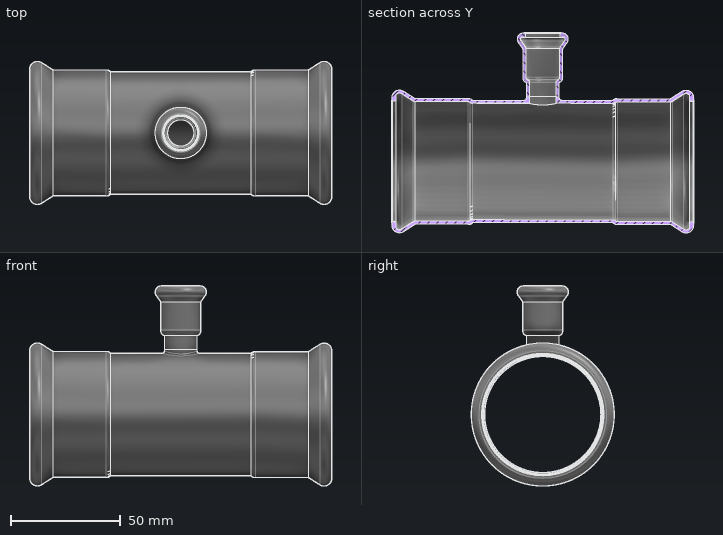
import cadquery as cq
import math

run_length = 138.0
run_outer_d = 56.0
run_bore_d = 53.0
run_socket_outer_d = 57.5
run_socket_bore_d = 54.4
run_mouth_d = 55.0
run_bevel_d = 55.9
run_bead_d = 65.4
run_bead_radius = 3.6
run_flare_depth = 10.8
run_shoulder_depth = 34.8
run_socket_depth = 37.0

branch_top = 58.8
branch_outer_d = 15.0
branch_bore_d = 12.0
branch_socket_outer_d = 18.4
branch_socket_bore_d = 15.2
branch_mouth_d = 15.7
branch_bevel_d = 16.5
branch_bead_d = 23.5
branch_bead_radius = 2.9
branch_flare_depth = 7.3
branch_shoulder_depth = 20.1
branch_socket_depth = 22.8

bevel_depth = 0.4
lip_depth = 2.1
bore_lead_depth = 0.8

collar_top = 29.7
collar_fillet = 1.0


def press_socket(bead_d, bead_radius, outer_d, bore_d, mouth_d, bevel_d, pipe_outer_d, pipe_bore_d,
                 flare_depth, shoulder_depth, socket_depth):
    """Beaded socket revolved about Z, mouth face at Z = 0, narrowing to the pipe below."""
    bead_centre_r = bead_d / 2 - bead_radius
    foot_dr = outer_d / 2 - bead_centre_r
    foot_dz = bead_radius - flare_depth
    foot_distance = math.hypot(foot_dr, foot_dz)
    touch_angle = math.atan2(foot_dz, foot_dr) + math.acos(bead_radius / foot_distance)
    touch_point = (bead_centre_r + bead_radius * math.cos(touch_angle),
                   -bead_radius + bead_radius * math.sin(touch_angle))
    wall = (outer_d - bore_d) / 2
    groove_radius = bead_radius - wall
    groove_rise = bead_radius - lip_depth
    groove_start_r = bead_centre_r + math.sqrt(groove_radius**2 - groove_rise**2)
    groove_end = (bead_centre_r + groove_radius * math.cos(touch_angle),
                  -bead_radius + groove_radius * math.sin(touch_angle))
    groove_foot_z = groove_end[1] - (groove_end[0] - mouth_d / 2) / math.tan(-touch_angle)
    shoulder_drop = socket_depth - shoulder_depth
    shoulder_step = (outer_d - pipe_outer_d) / 2
    half_root = math.sqrt(0.5)
    shoulder_middle = (pipe_outer_d / 2 + shoulder_step * half_root,
                       -shoulder_depth - shoulder_drop * half_root)
    stop_step = (bore_d - pipe_bore_d) / 4
    stop_drop = shoulder_drop / 2
    stop_point = (pipe_bore_d / 2 + stop_step, -shoulder_depth - stop_drop)
    stop_upper_middle = (stop_point[0] + stop_step * half_root,
                         -shoulder_depth - stop_drop * half_root)
    stop_lower_middle = (stop_point[0] - stop_step * half_root,
                         -socket_depth + stop_drop * half_root)
    profile = (
        cq.Workplane("XZ")
        .moveTo(bevel_d / 2, 0)
        .lineTo(bead_centre_r, 0)
        .threePointArc((bead_d / 2, -bead_radius), touch_point)
        .lineTo(outer_d / 2, -flare_depth)
        .lineTo(outer_d / 2, -shoulder_depth)
        .threePointArc(shoulder_middle, (pipe_outer_d / 2, -socket_depth))
        .lineTo(pipe_bore_d / 2, -socket_depth)
        .threePointArc(stop_lower_middle, stop_point)
        .threePointArc(stop_upper_middle, (bore_d / 2, -shoulder_depth))
        .lineTo(bore_d / 2, groove_foot_z - bore_lead_depth)
        .lineTo(mouth_d / 2, groove_foot_z)
        .lineTo(*groove_end)
        .threePointArc((bead_centre_r + groove_radius, -bead_radius), (groove_start_r, -lip_depth))
        .lineTo(mouth_d / 2, -lip_depth)
        .lineTo(mouth_d / 2, -bevel_depth)
        .close()
    )
    return profile.revolve(360, (0, 0, 0), (0, 1, 0))


def run_body():
    pipe_length = run_length - 2 * run_socket_depth
    pipe = cq.Workplane("YZ").circle(run_outer_d / 2).extrude(pipe_length / 2, both=True)
    pipe_bore = cq.Workplane("YZ").circle(run_bore_d / 2).extrude(pipe_length / 2, both=True)
    branch_hole = cq.Workplane("XY").circle(branch_bore_d / 2).extrude(collar_top)
    collar = cq.Workplane("XY").circle(branch_outer_d / 2).extrude(collar_top)
    foot_reach = branch_outer_d / 2 + collar_fillet
    foot_bottom = run_bore_d / 2 - collar_fillet
    foot_box = cq.selectors.BoxSelector(
        (-foot_reach, -foot_reach, foot_bottom),
        (foot_reach, foot_reach, run_outer_d / 2),
    )
    joined = pipe.union(collar).edges(foot_box).fillet(collar_fillet)
    body = joined.cut(pipe_bore).cut(branch_hole)
    for side in (-1, 1):
        socket = press_socket(run_bead_d, run_bead_radius, run_socket_outer_d, run_socket_bore_d,
                              run_mouth_d, run_bevel_d, run_outer_d, run_bore_d,
                              run_flare_depth, run_shoulder_depth, run_socket_depth)
        socket = socket.rotate((0, 0, 0), (0, 1, 0), side * 90)
        body = body.union(socket.translate((side * run_length / 2, 0, 0)))
    return body


def branch_body():
    socket = press_socket(branch_bead_d, branch_bead_radius, branch_socket_outer_d, branch_socket_bore_d,
                          branch_mouth_d, branch_bevel_d, branch_outer_d, branch_bore_d,
                          branch_flare_depth, branch_shoulder_depth, branch_socket_depth)
    neck = (
        cq.Workplane("XY")
        .workplane(offset=collar_top)
        .circle(branch_outer_d / 2)
        .circle(branch_bore_d / 2)
        .extrude(branch_top - branch_socket_depth - collar_top)
    )
    return neck.union(socket.translate((0, 0, branch_top)))


run = run_body()
branch = branch_body()
result = cq.Compound.makeCompound([run.val(), branch.val()])